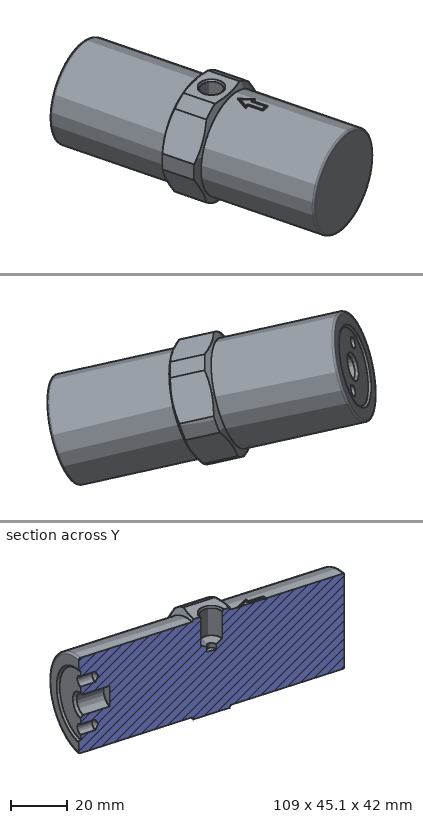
import cadquery as cq
import math

body_length = 109.0
body_diameter = 40.0
body_edge_radius = 0.8

hex_sides = 6
hex_width = 16.0
hex_across_flats = 42.0
hex_corner_diameter = 45.13
hex_chamfer_angle = 30.0

recess_rim_diameter = 30.0
recess_floor_diameter = 28.4
recess_depth = 0.8

end_port_diameter = 8.38
end_port_rim_diameter = 10.4
end_port_depth = 12.0

pin_hole_diameter = 4.2
pin_hole_spacing = 20.0
pin_hole_depth = 6.0

top_port_diameter = 8.57
top_port_rim_diameter = 9.8
top_port_depth = 12.0
top_port_outlet_diameter = 3.5
top_port_outlet_depth = 2.0

drill_point_angle = 118.0

arrow_tip_x = 10.8
arrow_head_length = 5.2
arrow_length = 11.4
arrow_head_width = 6.4
arrow_shaft_width = 3.2
arrow_line_width = 0.5
arrow_depth = 0.2

end_face_x = -body_length / 2
recess_floor_x = end_face_x + recess_depth
collar_flat_z = hex_across_flats / 2


def drill_cone_height(radius_change):
    """Height over which a drill point narrows by the given radius."""
    return radius_change / math.tan(math.radians(drill_point_angle / 2))


def revolve_profile(points):
    """Solid of revolution about Z from (radius, height) points, closed along the axis."""
    axis_start = (0, 0, 0)
    axis_end = (0, 1, 0)
    return cq.Workplane("XZ").polyline(points).close().revolve(360, axis_start, axis_end)


def aim_along_x(cutter):
    """Turn a cutter that runs down Z so that it runs towards +X."""
    return cutter.rotate((0, 0, 0), (0, 1, 0), -90)


def make_body():
    body = cq.Workplane("YZ").circle(body_diameter / 2).extrude(body_length / 2, both=True)
    return body.faces("<X or >X").edges().fillet(body_edge_radius)


def make_collar():
    """Hexagon with flats facing +Z and -Z, trimmed by a chamfered round blank."""
    across_corners = hex_across_flats / math.cos(math.pi / hex_sides)
    hexagon = cq.Workplane("YZ").polygon(hex_sides, across_corners).extrude(hex_width / 2, both=True)
    corner_radius = hex_corner_diameter / 2
    body_radius = body_diameter / 2
    chamfer_length = (corner_radius - body_radius) * math.tan(math.radians(hex_chamfer_angle))
    half_width = hex_width / 2
    blank = revolve_profile([
        (0, -half_width),
        (body_radius, -half_width),
        (corner_radius, chamfer_length - half_width),
        (corner_radius, half_width - chamfer_length),
        (body_radius, half_width),
        (0, half_width),
    ])
    return hexagon.intersect(aim_along_x(blank))


def make_recess():
    recess = revolve_profile([
        (0, 0),
        (recess_rim_diameter / 2, 0),
        (recess_floor_diameter / 2, -recess_depth),
        (0, -recess_depth),
    ])
    return aim_along_x(recess).translate((end_face_x, 0, 0))


def make_end_port():
    """Flat-bottomed bore with a 45 degree rim."""
    radius = end_port_diameter / 2
    rim_radius = end_port_rim_diameter / 2
    port = revolve_profile([
        (0, 0),
        (rim_radius, 0),
        (radius, radius - rim_radius),
        (radius, -end_port_depth),
        (0, -end_port_depth),
    ])
    return aim_along_x(port).translate((recess_floor_x, 0, 0))


def make_pin_hole(z):
    """Blind hole that ends in a drill point."""
    radius = pin_hole_diameter / 2
    hole = revolve_profile([
        (0, 0),
        (radius, 0),
        (radius, -pin_hole_depth),
        (0, -pin_hole_depth - drill_cone_height(radius)),
    ])
    return aim_along_x(hole).translate((recess_floor_x, 0, z))


def make_top_port():
    """Bore with a 45 degree rim and a drill cone that leads into a smaller outlet hole."""
    radius = top_port_diameter / 2
    rim_radius = top_port_rim_diameter / 2
    outlet_radius = top_port_outlet_diameter / 2
    outlet_start = top_port_depth + drill_cone_height(radius - outlet_radius)
    outlet_end = outlet_start + top_port_outlet_depth
    port = revolve_profile([
        (0, 0),
        (rim_radius, 0),
        (radius, radius - rim_radius),
        (radius, -top_port_depth),
        (outlet_radius, -outlet_start),
        (outlet_radius, -outlet_end),
        (0, -outlet_end),
    ])
    return port.translate((0, 0, collar_flat_z))


def make_flow_arrow():
    """Outline groove that follows the round body at a constant depth."""
    head_x = arrow_tip_x + arrow_head_length
    tail_x = arrow_tip_x + arrow_length
    head_y = arrow_head_width / 2
    shaft_y = arrow_shaft_width / 2
    outline = cq.Workplane("XY").polyline([
        (arrow_tip_x, 0),
        (head_x, head_y),
        (head_x, shaft_y),
        (tail_x, shaft_y),
        (tail_x, -shaft_y),
        (head_x, -shaft_y),
        (head_x, -head_y),
    ]).close()
    inner_outline = cq.Workplane("XY").add(outline.val()).toPending().offset2D(-arrow_line_width)
    outer = outline.extrude(body_diameter)
    inner = inner_outline.extrude(body_diameter)
    core = cq.Workplane("YZ").circle(body_diameter / 2 - arrow_depth).extrude(body_length)
    return outer.cut(inner).cut(core)


result = make_body().union(make_collar())
result = result.cut(make_recess())
result = result.cut(make_end_port())
for side in (-1, 1):
    result = result.cut(make_pin_hole(side * pin_hole_spacing / 2))
result = result.cut(make_top_port())
result = result.cut(make_flow_arrow())